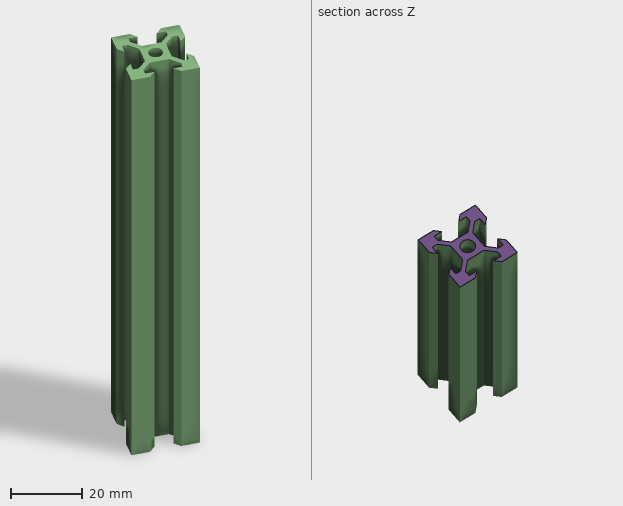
import cadquery as cq
import math

side = 20.0
length = 135.0
bore_diameter = 4.2
core_width = 7.8
web_thickness = 1.5
lip_thickness = 1.8
cavity_width = 11.0
mouth_width = 9.16

half_side = side / 2
half_core = core_width / 2
half_cavity = cavity_width / 2
half_mouth = mouth_width / 2
half_throat = half_mouth - lip_thickness
lip_depth = half_side - lip_thickness
web_offset = web_thickness / math.sqrt(2)
half_floor = half_core - web_offset
shoulder_depth = half_cavity + web_offset


def make_bar():
    """Solid square bar with the central bore along Z."""
    return (
        cq.Workplane("XY")
        .rect(side, side)
        .circle(bore_diameter / 2)
        .extrude(length)
    )


def make_slot():
    """Full-length V-slot cutter for the +Y side."""
    right_half = [
        (half_floor, half_core),
        (half_cavity, shoulder_depth),
        (half_cavity, lip_depth),
        (half_throat, lip_depth),
        (half_mouth, half_side),
    ]
    left_half = [(-x, y) for x, y in reversed(right_half)]
    return cq.Workplane("XY").polyline(right_half + left_half).close().extrude(length)


def cut_slots(bar):
    """Cut the same slot into all four sides."""
    slot = make_slot()
    for angle in (0, 90, 180, 270):
        bar = bar.cut(slot.rotate((0, 0, 0), (0, 0, 1), angle))
    return bar


result = cut_slots(make_bar())